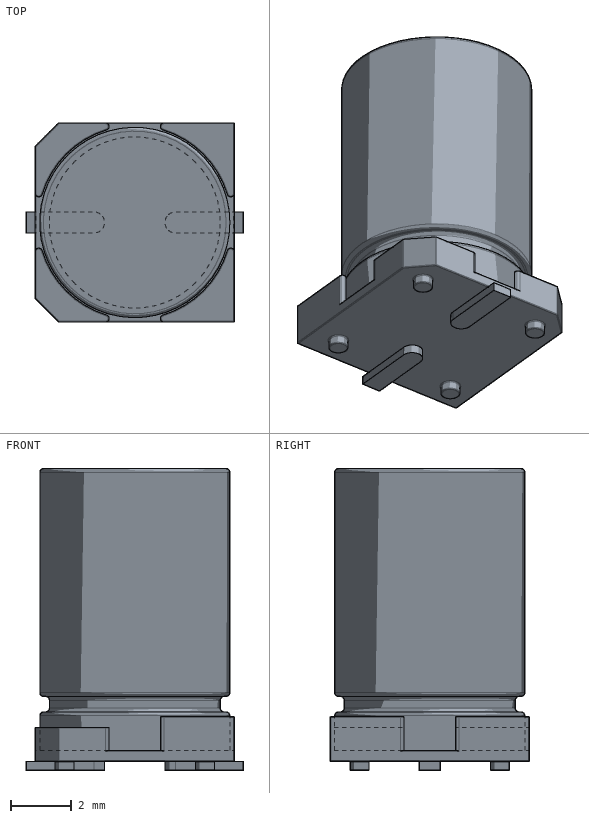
import math

import cadquery as cq

total_height = 10.0
can_diameter = 6.3
can_radius = can_diameter / 2
can_fillet = 0.02 * can_diameter

groove_floor_radius = 0.45 * can_diameter
groove_width = 0.51
groove_bottom_z = 1.94

base_size = 6.6
base_half = base_size / 2
base_corner_chamfer = 0.78
edge_fillet = 0.03
base_bottom_z = 0.3
notch_floor_z = 0.66
low_post_top_z = 1.43
high_post_top_z = 1.78

notch_half_width = 0.85
post_end_radius = 0.12
post_end_x = notch_half_width + post_end_radius
post_end_y = base_half - post_end_radius
socket_radius = math.hypot(post_end_x, post_end_y) - post_end_radius

foot_diameter = 0.63
foot_offset = 2.325
terminal_span = 7.2
terminal_width = 0.7
terminal_length = 2.6


def plane_at(height):
    """Horizontal workplane at the given height."""
    return cq.Workplane("XY").workplane(offset=height)


def make_can():
    """Round can standing on the notch floor, with a rolled groove and a rounded rim."""
    blank = plane_at(notch_floor_z).circle(can_radius).extrude(total_height - notch_floor_z)
    groove = plane_at(groove_bottom_z).circle(base_size).circle(groove_floor_radius)
    can = blank.cut(groove.extrude(groove_width))
    return can.edges("%CIRCLE").edges("not <Z").fillet(can_fillet)


def make_block(bottom_z, top_z):
    """Prism of the base outline: a square with both -X corners cut off and all corners eased."""
    block = plane_at(bottom_z).rect(base_size, base_size).extrude(top_z - bottom_z)
    block = block.edges("|Z and <X").chamfer(base_corner_chamfer)
    return block.edges("|Z").fillet(edge_fillet)


def make_post(side_x, side_y, top_z):
    """Corner post between the socket around the can and the outside of the base."""
    bottom_z = notch_floor_z - edge_fillet
    socket_angle = math.atan2(post_end_y, post_end_x)
    end_angle = (math.pi / 2 + math.pi + socket_angle) / 2
    end_mid = (
        post_end_x + post_end_radius * math.cos(end_angle),
        post_end_y + post_end_radius * math.sin(end_angle),
    )
    socket_end = (socket_radius * math.cos(socket_angle), socket_radius * math.sin(socket_angle))
    socket_mid = socket_radius * math.cos(math.pi / 4)

    def place(point):
        return (side_x * point[0], side_y * point[1])

    def swap(point):
        return (point[1], point[0])

    outer_end = (post_end_x, base_half)
    outline = (
        plane_at(bottom_z)
        .moveTo(*place(outer_end))
        .lineTo(*place((base_half, base_half)))
        .lineTo(*place(swap(outer_end)))
        .threePointArc(place(swap(end_mid)), place(swap(socket_end)))
        .threePointArc(place((socket_mid, socket_mid)), place(socket_end))
        .threePointArc(place(end_mid), place(outer_end))
        .close()
    )
    post = outline.extrude(top_z - bottom_z).intersect(make_block(bottom_z, top_z))
    return post.faces(">Z").edges().fillet(edge_fillet)


def make_feet():
    """Four round support feet with rounded bottom edges."""
    feet = cq.Workplane("XY").rect(2 * foot_offset, 2 * foot_offset, forConstruction=True)
    feet = feet.vertices().circle(foot_diameter / 2).extrude(base_bottom_z)
    return feet.faces("<Z").edges().fillet(edge_fillet)


def make_base():
    """Base plate on four feet, with low posts on the -X side and high ones on the +X side."""
    plate = make_block(base_bottom_z, notch_floor_z)
    plate = plate.faces("<Z or >Z").edges().fillet(edge_fillet)
    base = plate.union(make_feet())
    foot_roots = base.faces(cq.selectors.NearestToPointSelector((0, 0, base_bottom_z)))
    base = foot_roots.edges("%CIRCLE").fillet(edge_fillet)
    for side_x, top_z in ((-1, low_post_top_z), (1, high_post_top_z)):
        for side_y in (-1, 1):
            base = base.union(make_post(side_x, side_y, top_z))
    return base


def make_terminal(side):
    """Flat terminal reaching out along X on the given side, with a round inner end."""
    end_radius = terminal_width / 2
    tip_x = side * terminal_span / 2
    inner_x = tip_x - side * terminal_length
    round_x = inner_x + side * end_radius
    terminal = (
        cq.Workplane("XY")
        .moveTo(tip_x, -end_radius)
        .lineTo(tip_x, end_radius)
        .lineTo(round_x, end_radius)
        .threePointArc((inner_x, 0), (round_x, -end_radius))
        .close()
    )
    return terminal.extrude(base_bottom_z)


result = make_base().union(make_can())
for terminal_side in (-1, 1):
    result = result.union(make_terminal(terminal_side))